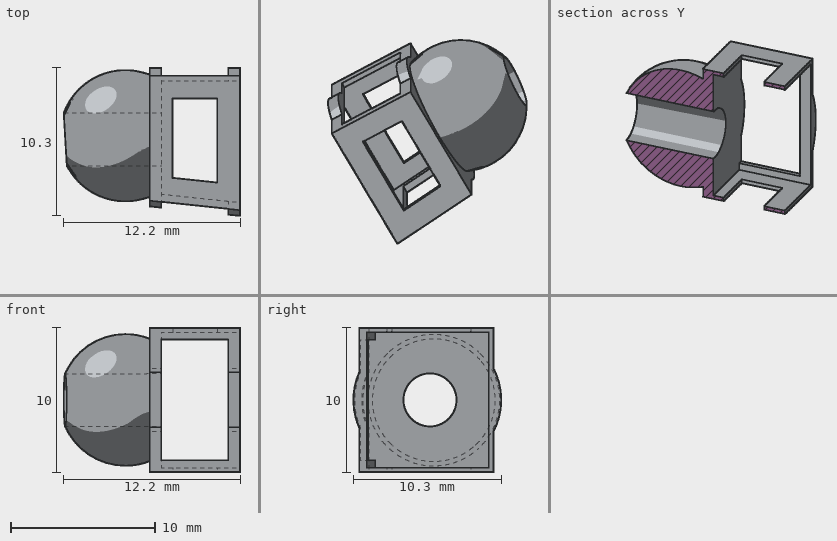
import cadquery as cq
import math

ball_radius = 4.57
hole_radius = 1.83
hole_y = -0.25

cage_start = 1.68
cage_end = 7.95
cage_length = cage_end - cage_start
cage_height = 10.0
back_y = 4.17
front_offset = 4.3
front_slant = 6.0

frame_width = 0.82
back_wall = 0.35
front_wall = 0.54
plate_thickness = 0.3
plate_border = 1.59
plate_border_front = 1.75
bump_radius = 4.71


def slanted_y(x, inset=0.0):
    """Y of the slanted side at x, moved inwards by a distance normal to it."""
    angle = math.radians(front_slant)
    return -(front_offset - inset) / math.cos(angle) - x * math.tan(angle)


def slanted_prism(x_start, x_end, back, front_inset, height):
    """Prism centred on z = 0 with one edge parallel to the slanted side."""
    return (
        cq.Workplane("XY")
        .workplane(offset=-height / 2)
        .moveTo(x_start, slanted_y(x_start, front_inset))
        .lineTo(x_end, slanted_y(x_end, front_inset))
        .lineTo(x_end, back)
        .lineTo(x_start, back)
        .close()
        .extrude(height)
    )


def x_box(x_start, x_end, y_start, y_end, height):
    """Box centred on z = 0."""
    return (
        cq.Workplane("XY")
        .box(x_end - x_start, y_end - y_start, height, centered=(False, False, True))
        .translate((x_start, y_start, 0))
    )


def bump(slant, y_start, y_end):
    """Length of a cylinder about the ball centre, kept on one side of the cage."""
    reach = 2 * cage_end
    cylinder = cq.Workplane("YZ").circle(bump_radius).extrude(reach)
    cylinder = cylinder.rotate((0, 0, 0), (0, 0, 1), -slant)
    return cylinder.intersect(x_box(cage_start, cage_end, y_start, y_end, cage_height))


cage = slanted_prism(cage_start, cage_end, back_y, 0, cage_height)
cage = cage.union(bump(0, 0, cage_height))
cage = cage.union(bump(front_slant, -cage_height, 0))

opening_start = cage_start + frame_width
side_opening = x_box(
    opening_start,
    cage_end - frame_width,
    -cage_height,
    cage_height,
    cage_height - 2 * frame_width,
)

cavity = slanted_prism(
    opening_start,
    cage_end + cage_length,
    back_y - back_wall,
    front_wall,
    cage_height - 2 * plate_thickness,
)

plate_window = slanted_prism(
    cage_start + plate_border,
    cage_end - plate_border,
    back_y - plate_border,
    plate_border_front,
    2 * cage_height,
)

cage = cage.cut(side_opening).cut(cavity).cut(plate_window)

ball = cq.Workplane("XY").sphere(ball_radius)
ball = ball.intersect(x_box(-ball_radius, opening_start, -ball_radius, ball_radius, 2 * ball_radius))

hole = (
    cq.Workplane("YZ", origin=(-ball_radius, hole_y, 0))
    .circle(hole_radius)
    .extrude(ball_radius + cage_end)
)

result = cage.union(ball).cut(hole)